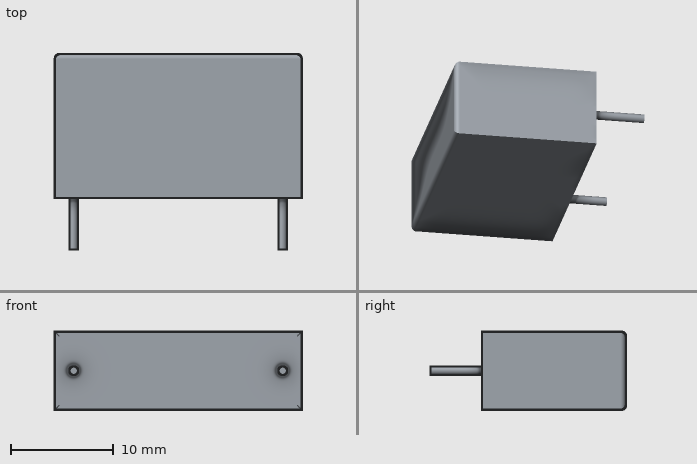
import cadquery as cq

case_length = 24.0
case_depth = 14.02
case_height = 7.6
edge_radius = 0.5

lead_length = 5.0
lead_diameter = 0.85
lead_spacing = 20.3


def make_case():
    """Box centred on X and Z, front face on Y = 0, back face rounded all round."""
    box = cq.Workplane("XY").box(case_length, case_depth, case_height, centered=(True, False, True))
    return box.faces(">Y").edges().fillet(edge_radius)


def make_lead(x):
    """Round wire standing on the front face at mid height, pointing to -Y."""
    return cq.Workplane("XZ").center(x, 0).circle(lead_diameter / 2).extrude(lead_length)


case = make_case()
leads = [make_lead(side * lead_spacing / 2) for side in (-1, 1)]

result = cq.Compound.makeCompound([case.val(), *[lead.val() for lead in leads]])